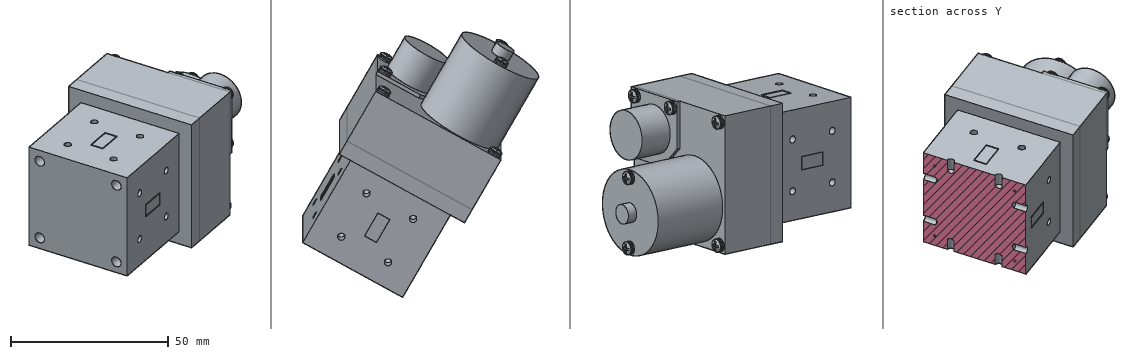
import cadquery as cq
import math

block_end = 31.9
flange_end = 36.8
housing_end = 55.5
connector_plate_end = 56.7
connector_end = 68.2
motor_end = 81.9
overall_length = 85.2

housing_side = 45.7
block_side = 36.5

mount_hole_pitch = 28.5
mount_hole_diameter = 3.5
mount_hole_depth = 6.8

port_count = 4
port_station = 15.85
port_length = 8.6
port_width = 4.35
port_recess = 0.25
port_hole_pitch_y = 16.3
port_hole_pitch_across = 17.05
port_hole_diameter = 2.3
port_hole_depth = 4.3
drill_tip_angle = 118.0

motor_offset = -7.7
motor_diameter = 28.1
shaft_diameter = 6.4
motor_screw_offset = 11.6

plate_side = 23.0
plate_chamfer = 7.3
connector_diameter = 16.2
plate_screw_pitch = 18.1

housing_screw_offset = 20.3
washer_diameter = 4.35
washer_height = 0.5
collar_diameter = 4.2
collar_height = 0.5
head_diameter = 4.3
head_rim_height = 0.4
dome_height = 0.7
slot_width = 0.6
slot_depth = 0.3

housing_half = housing_side / 2
plate_center = housing_half - plate_side / 2


def box_along_y(side, start, end, center=0.0):
    """Square bar between two Y stations, centred on X = Z = center."""
    length = end - start
    return cq.Workplane("XY").box(side, length, side).translate((center, start + length / 2, center))


def cylinder_along_y(diameter, start, end, x, z):
    solid = cq.Solid.makeCylinder(diameter / 2, end - start, cq.Vector(x, start, z), cq.Vector(0, 1, 0))
    return cq.Workplane(obj=solid)


def drilled_hole(diameter, depth, entry, direction):
    """Blind hole cutter with a conical drill tip."""
    radius = diameter / 2
    tip_length = radius / math.tan(math.radians(drill_tip_angle / 2))
    axis = cq.Vector(*direction)
    start = cq.Vector(*entry)
    bore = cq.Solid.makeCylinder(radius, depth, start, axis)
    tip = cq.Solid.makeCone(radius, 0, tip_length, start + axis * depth, axis)
    return cq.Workplane(obj=bore).union(cq.Workplane(obj=tip))


def signed_pairs(first, second):
    """The four combinations of +/- first with +/- second."""
    return [(a, b) for a in (-first, first) for b in (-second, second)]


def screw(x, z, seat):
    """Washer, collar and domed, cross-slotted head standing on the plane Y = seat."""
    washer_top = seat + washer_height
    collar_top = washer_top + collar_height
    rim_top = collar_top + head_rim_height
    head_top = rim_top + dome_height
    washer = cylinder_along_y(washer_diameter, seat, washer_top, x, z)
    collar = cylinder_along_y(collar_diameter, washer_top, collar_top, x, z)

    head_radius = head_diameter / 2
    dome_radius = (head_radius**2 + dome_height**2) / (2 * dome_height)
    half_angle = math.asin(head_radius / dome_radius) / 2
    mid_arc = (
        dome_radius * math.sin(half_angle),
        head_top - dome_radius * (1 - math.cos(half_angle)),
    )
    head = (
        cq.Workplane("XY")
        .moveTo(0, collar_top)
        .lineTo(head_radius, collar_top)
        .lineTo(head_radius, rim_top)
        .threePointArc(mid_arc, (0, head_top))
        .close()
        .revolve(360, (0, 0, 0), (0, 1, 0))
    )
    for slot_size in ((head_diameter, slot_width), (slot_width, head_diameter)):
        slot = cq.Workplane("XY").box(slot_size[0], 2 * slot_depth, slot_size[1])
        head = head.cut(slot.translate((0, head_top, 0)))
    return washer.union(collar).union(head.translate((x, 0, z)))


def port_cutter():
    """Shallow waveguide opening and its four flange holes for the +Z side face."""
    face = block_side / 2
    cutter = cq.Workplane("XY").box(port_width, port_length, 2 * port_recess)
    cutter = cutter.translate((0, port_station, face))
    for x, y in signed_pairs(port_hole_pitch_across / 2, port_hole_pitch_y / 2):
        hole = drilled_hole(port_hole_diameter, port_hole_depth, (x, port_station + y, face), (0, 0, -1))
        cutter = cutter.union(hole)
    return cutter


def waveguide_block():
    block = box_along_y(block_side, 0, block_end)
    for x, z in signed_pairs(mount_hole_pitch / 2, mount_hole_pitch / 2):
        block = block.cut(drilled_hole(mount_hole_diameter, mount_hole_depth, (x, 0, z), (0, 1, 0)))
    cutter = port_cutter()
    for i in range(port_count):
        block = block.cut(cutter.rotate((0, 0, 0), (0, 1, 0), i * 360 / port_count))
    return block


def motor():
    can = cylinder_along_y(motor_diameter, housing_end, motor_end, motor_offset, motor_offset)
    shaft = cylinder_along_y(shaft_diameter, motor_end, overall_length, motor_offset, motor_offset)
    assembly = can.union(shaft)
    for dz in (-motor_screw_offset, motor_screw_offset):
        assembly = assembly.union(screw(motor_offset, motor_offset + dz, motor_end))
    return assembly


def connector():
    plate = box_along_y(plate_side, housing_end, connector_plate_end, plate_center)
    plate = plate.edges("|Y and <X and <Z").chamfer(plate_chamfer)
    barrel = cylinder_along_y(
        connector_diameter, connector_plate_end, connector_end, plate_center, plate_center
    )
    assembly = plate.union(barrel)
    for dx, dz in signed_pairs(plate_screw_pitch / 2, plate_screw_pitch / 2):
        on_chamfered_corner = dx < 0 and dz < 0
        if not on_chamfered_corner:
            assembly = assembly.union(screw(plate_center + dx, plate_center + dz, connector_plate_end))
    return assembly


def housing():
    flange = box_along_y(housing_side, block_end, flange_end)
    body = box_along_y(housing_side, flange_end, housing_end)
    for x, z in signed_pairs(housing_screw_offset, housing_screw_offset):
        under_connector_plate = x > 0 and z > 0
        if not under_connector_plate:
            body = body.union(screw(x, z, housing_end))
    return body.union(flange, clean=False)


result = housing()
for component in (waveguide_block(), motor(), connector()):
    result = result.union(component, clean=False)